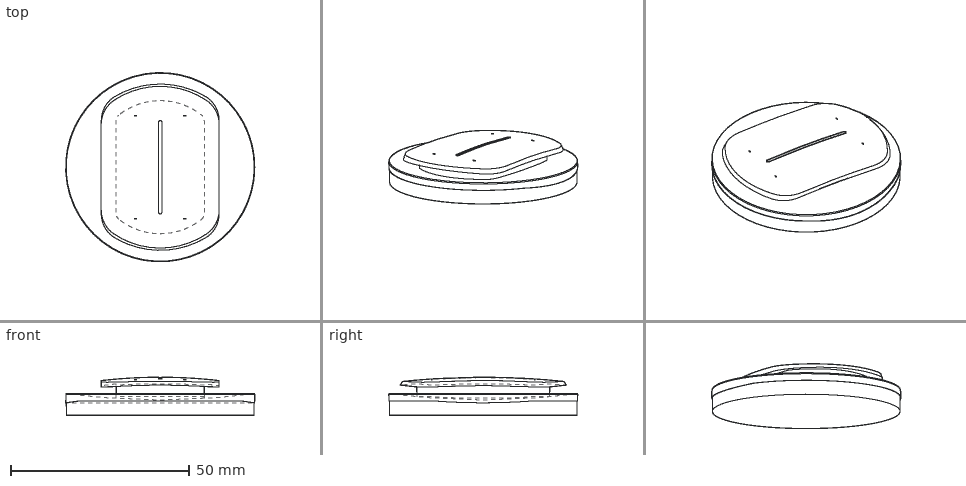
import cadquery as cq
import math

total_height = 10.7

base_radius = 26.35
base_top = 4.0

cover_radius = 26.5
rim_top = 6.15
bevel_width = 0.15
bevel_height = 0.3
dish_radius = 185.5
dish_zone_radii = (22.45, 15.9)
ridge_half_width = 13.25
ridge_depth = 0.5

neck_half_width = 12.35
neck_half_length = 18.65
neck_corner_radius = 2.1

plate_half_width = 16.55
plate_corner_radius = 8.2
plate_foot = 7.4
plate_foot_half_length = 23.9
end_lean = 0.6
dome_radius_x = 143.1
dome_radius_y = 212.0
underside_top = 9.5
underside_radius_x = 116.6
underside_radius_y = 259.7

groove_width = 0.9
groove_length = 26.2
groove_depth = 0.15
slit_length = 0.65
slit_width = 0.1
slit_depth = 0.15
slit_x = 6.9
slit_y = 14.4


def sagitta(arc_radius, distance):
    """Drop of an arc at the given distance from its crown."""
    return arc_radius - math.sqrt(arc_radius**2 - distance**2)


def dish_height(radius):
    """Height of the dish at a zone edge of the given radius."""
    edge_radius = cover_radius - bevel_width
    return rim_top - sagitta(dish_radius, edge_radius) + sagitta(dish_radius, radius)


def rounded_outline(z, half_width, half_length, corner_radius):
    """Closed wire: straight sides, end arcs about the axis, tangent corner arcs."""
    corner_x = half_width - corner_radius
    corner_y = math.sqrt((half_length - corner_radius) ** 2 - corner_x**2)
    angle = math.atan2(corner_y, corner_x)
    end_x = half_length * math.cos(angle)
    end_y = half_length * math.sin(angle)
    mid_x = corner_x + corner_radius * math.cos(angle / 2)
    mid_y = corner_y + corner_radius * math.sin(angle / 2)
    return (
        cq.Workplane("XY", origin=(0, 0, z))
        .moveTo(half_width, -corner_y)
        .lineTo(half_width, corner_y)
        .threePointArc((mid_x, mid_y), (end_x, end_y))
        .threePointArc((0, half_length), (-end_x, end_y))
        .threePointArc((-mid_x, mid_y), (-half_width, corner_y))
        .lineTo(-half_width, -corner_y)
        .threePointArc((-mid_x, -mid_y), (-end_x, -end_y))
        .threePointArc((0, -half_length), (end_x, -end_y))
        .threePointArc((mid_x, -mid_y), (half_width, -corner_y))
        .close()
        .wire()
        .val()
    )


def below_dome(crown, radius_x, radius_y):
    """Solid filling the space below a surface arched along both X and Y."""
    reach = cover_radius
    edge_height = crown - sagitta(radius_x, reach)
    sweep = 20.0
    return (
        cq.Workplane("XZ")
        .moveTo(-reach, 0)
        .lineTo(reach, 0)
        .lineTo(reach, edge_height)
        .threePointArc((0, crown), (-reach, edge_height))
        .close()
        .revolve(sweep, (0, crown - radius_y, 0), (1, crown - radius_y, 0))
        .rotate((0, 0, crown - radius_y), (1, 0, crown - radius_y), -sweep / 2)
    )


def make_cover():
    profile = (
        cq.Workplane("XZ")
        .moveTo(0, base_top)
        .lineTo(cover_radius, base_top)
        .lineTo(cover_radius, rim_top - bevel_height)
        .lineTo(cover_radius - bevel_width, rim_top)
    )
    for end in (*dish_zone_radii, 0.0):
        profile = profile.lineTo(end, dish_height(end))
    disc = profile.close().revolve(360, (0, 0, 0), (0, 1, 0))

    ridge = (
        cq.Workplane("YZ", origin=(-cover_radius, 0, 0))
        .moveTo(-ridge_half_width, base_top)
        .threePointArc((0, base_top - ridge_depth), (ridge_half_width, base_top))
        .close()
        .extrude(2 * cover_radius)
    )
    ridge = ridge.intersect(cq.Workplane("XY").circle(cover_radius).extrude(total_height))
    return disc.union(ridge)


def make_base(cover):
    disc = cq.Workplane("XY").circle(base_radius).extrude(base_top)
    return disc.cut(cover)


def make_handle(cover):
    under_top = below_dome(total_height, dome_radius_x, dome_radius_y)
    under_plate = below_dome(underside_top, underside_radius_x, underside_radius_y)

    head_half_length = plate_foot_half_length - end_lean * (total_height - plate_foot)
    foot = rounded_outline(plate_foot, plate_half_width, plate_foot_half_length, plate_corner_radius)
    head = rounded_outline(total_height, plate_half_width, head_half_length, plate_corner_radius)
    block = cq.Workplane(cq.Solid.makeLoft([foot, head], True))
    plate = block.intersect(under_top).cut(under_plate)

    outline = rounded_outline(base_top, neck_half_width, neck_half_length, neck_corner_radius)
    column = cq.Workplane(cq.Solid.extrudeLinear(outline, [], cq.Vector(0, 0, total_height - base_top)))
    neck = column.intersect(under_top).cut(cover)
    handle = plate.union(neck)

    groove = cq.Workplane("XY").slot2D(groove_length, groove_width, 90).extrude(total_height)
    groove = groove.cut(below_dome(total_height - groove_depth, dome_radius_x, dome_radius_y))
    handle = handle.cut(groove)

    dome_at_slit = total_height - sagitta(dome_radius_x, slit_x) - sagitta(dome_radius_y, slit_y)
    slits = (
        cq.Workplane("XY", origin=(0, 0, dome_at_slit - slit_depth))
        .rect(2 * slit_x, 2 * slit_y, forConstruction=True)
        .vertices()
        .rect(slit_length, slit_width)
        .extrude(2 * slit_depth)
    )
    return handle.cut(slits)


cover = make_cover()
base = make_base(cover)
handle = make_handle(cover)

result = cq.Compound.makeCompound([base.solids().val(), cover.solids().val(), handle.solids().val()])